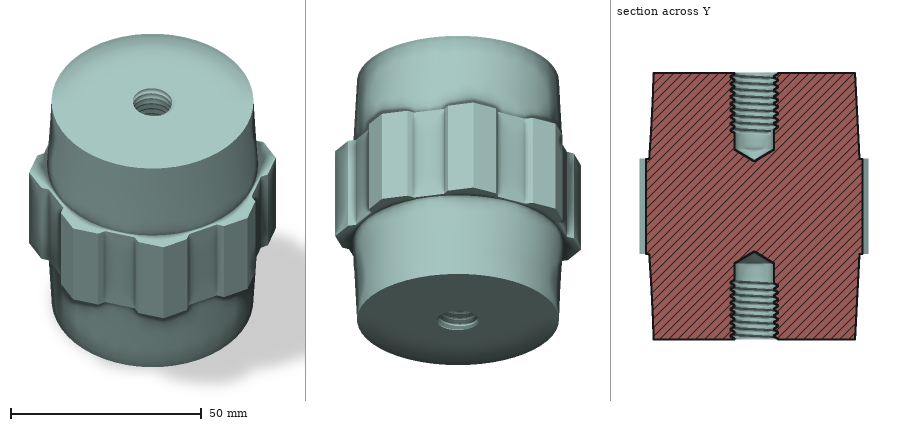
import cadquery as cq
import math

height = 70.0
collar_across_flats = 60.0
collar_height = 25.0
end_diameter = 53.0
draft_angle = 3.0

collar_sides = 8
notch_depth = 1.5
notch_floor_width = 8.1

bore_diameter = 10.3
thread_diameter = 12.25
thread_pitch = 1.75
thread_angle = 60.0
thread_root_flat = thread_pitch / 8
thread_overlap = 0.1
thread_turns = 10
thread_phase = 30.0
bore_depth = 20.0
drill_point_angle = 118.0


def make_barrel():
    """Round body, tapering from the middle of its height to both ends."""
    end_radius = end_diameter / 2
    cone_height = (height - collar_height) / 2
    collar_end = collar_height / 2
    root_radius = end_radius + cone_height * math.tan(math.radians(draft_angle))
    return (
        cq.Workplane("XZ")
        .polyline([
            (0, -height / 2),
            (end_radius, -height / 2),
            (root_radius, -collar_end),
            (root_radius, collar_end),
            (end_radius, height / 2),
            (0, height / 2),
        ])
        .close()
        .revolve(360, (0, 0, 0), (0, 1, 0))
    )


def make_collar():
    """Octagonal grip collar with a notch in every face."""
    apothem = collar_across_flats / 2
    half_face = apothem * math.tan(math.pi / collar_sides)
    half_floor = notch_floor_width / 2
    half_mouth = half_floor + notch_depth
    face_points = [
        (apothem, -half_face),
        (apothem, -half_mouth),
        (apothem - notch_depth, -half_floor),
        (apothem - notch_depth, half_floor),
        (apothem, half_mouth),
    ]
    outline = []
    for side in range(collar_sides):
        turn = 2 * math.pi * side / collar_sides
        for x, y in face_points:
            outline.append((
                x * math.cos(turn) - y * math.sin(turn),
                x * math.sin(turn) + y * math.cos(turn),
            ))
    return (
        cq.Workplane("XY")
        .workplane(offset=-collar_height / 2)
        .polyline(outline)
        .close()
        .extrude(collar_height)
    )


def make_bore():
    """Blind drilled hole in the top end, with a conical bottom."""
    bore_radius = bore_diameter / 2
    floor = height / 2 - bore_depth
    point_depth = bore_radius / math.tan(math.radians(drill_point_angle / 2))
    return (
        cq.Workplane("XZ")
        .polyline([
            (0, floor - point_depth),
            (bore_radius, floor),
            (bore_radius, height / 2),
            (0, height / 2),
        ])
        .close()
        .revolve(360, (0, 0, 0), (0, 1, 0))
    )


def make_thread_groove():
    """Right-hand helical V groove that runs out through the top end face."""
    inner_radius = bore_diameter / 2 - thread_overlap
    outer_radius = thread_diameter / 2
    flank_rise = (outer_radius - inner_radius) * math.tan(math.radians(thread_angle / 2))
    half_root = thread_root_flat / 2
    half_mouth = half_root + flank_rise
    helix_start = height / 2 - (thread_turns - 1) * thread_pitch
    helix = cq.Wire.makeHelix(thread_pitch, thread_turns * thread_pitch, inner_radius)
    groove = (
        cq.Workplane("XZ")
        .polyline([
            (inner_radius, -half_mouth),
            (outer_radius, -half_root),
            (outer_radius, half_root),
            (inner_radius, half_mouth),
        ])
        .close()
        .sweep(cq.Workplane(obj=helix), isFrenet=True)
    )
    return groove.rotate((0, 0, 0), (0, 0, 1), thread_phase).translate((0, 0, helix_start))


result = make_barrel().union(make_collar())

for end_turn in (0, 180):
    for cutter in (make_thread_groove(), make_bore()):
        result = result.cut(cutter.rotate((0, 0, 0), (1, 0, 0), end_turn))